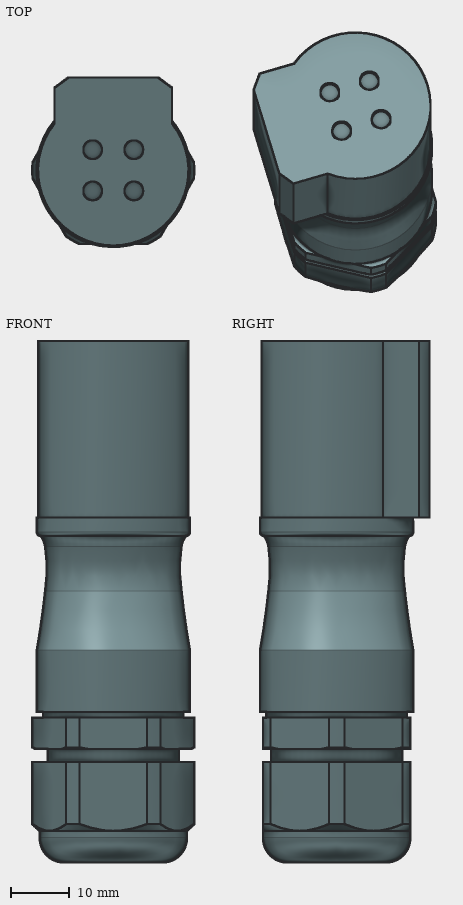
import cadquery as cq
import math

total_height = 88.6

head_height = 30.0
head_radius = 12.8
key_width = 20.0
key_reach = 15.8
key_chamfer_x = 2.4
key_chamfer_y = 1.8

hole_spacing = 7.0
hole_diameter = 3.2
hole_depth = 1.0

sleeve_radius = 13.0
collar_height = 2.4
collar_round = 0.7
waist_end_radius = 11.6
waist_radius = 11.3
waist_top = 53.7
waist_bottom = 46.2
flare_middle_radius = 12.2
grip_top = 36.1
sleeve_bottom = 25.6

hex_sides = 6
across_flats = 25.1
across_corners = 27.55
upper_neck_radius = 12.0
upper_hex_top = 24.6
upper_hex_bottom = 19.3
upper_hex_chamfer_width = 0.5
upper_hex_chamfer_height = 0.3
lower_neck_radius = 11.2
lower_hex_top = 17.1
lower_hex_bottom = 5.4
lower_hex_chamfer_height = 1.15
cap_round = 4.25

head_bottom = total_height - head_height
collar_bottom = head_bottom - collar_height
shoulder_bottom = collar_bottom - collar_round
shoulder_radius = sleeve_radius - collar_round
corner_radius = across_corners / 2
cap_radius = across_flats / 2


def cylinder(radius, bottom, top):
    return cq.Workplane("XY").workplane(offset=bottom).circle(radius).extrude(top - bottom)


def make_head():
    """Round head with a chamfered key block along its full height."""
    half_width = key_width / 2
    key = (
        cq.Workplane("XY")
        .workplane(offset=head_bottom)
        .moveTo(-half_width, 0)
        .lineTo(-half_width, key_reach - key_chamfer_y)
        .lineTo(-half_width + key_chamfer_x, key_reach)
        .lineTo(half_width - key_chamfer_x, key_reach)
        .lineTo(half_width, key_reach - key_chamfer_y)
        .lineTo(half_width, 0)
        .close()
        .extrude(head_height)
    )
    return cylinder(head_radius, head_bottom, total_height).union(key)


def make_contact_holes():
    """Four shallow holes in a square, sunk from the top face."""
    return (
        cq.Workplane("XY")
        .workplane(offset=total_height)
        .rarray(hole_spacing, hole_spacing, 2, 2)
        .circle(hole_diameter / 2)
        .extrude(-hole_depth)
    )


def make_sleeve():
    """Turned sleeve: rounded collar, concave waist and straight grip."""
    diagonal = math.sqrt(0.5)
    collar_round_middle = (
        shoulder_radius + collar_round * diagonal,
        collar_bottom - collar_round * diagonal,
    )
    profile = (
        cq.Workplane("XZ")
        .moveTo(0, sleeve_bottom)
        .lineTo(sleeve_radius, sleeve_bottom)
        .lineTo(sleeve_radius, grip_top)
        .threePointArc(
            (flare_middle_radius, (grip_top + waist_bottom) / 2),
            (waist_end_radius, waist_bottom),
        )
        .threePointArc(
            (waist_radius, (waist_bottom + waist_top) / 2),
            (waist_end_radius, waist_top),
        )
        .tangentArcPoint((shoulder_radius, shoulder_bottom), relative=False)
        .threePointArc(collar_round_middle, (sleeve_radius, collar_bottom))
        .lineTo(sleeve_radius, head_bottom)
        .lineTo(0, head_bottom)
        .close()
    )
    return profile.revolve(360, (0, 0), (0, 1))


def make_hexagon(bottom, top, chamfer_width, chamfer_height):
    """Hexagon with corners on the X axis, turned to a round and chamfered below."""
    prism = (
        cq.Workplane("XY")
        .workplane(offset=bottom)
        .polygon(hex_sides, across_flats, circumscribed=True)
        .extrude(top - bottom)
        .rotate((0, 0, 0), (0, 0, 1), 180 / hex_sides)
    )
    envelope = (
        cq.Workplane("XZ")
        .moveTo(0, bottom)
        .lineTo(corner_radius - chamfer_width, bottom)
        .lineTo(corner_radius, bottom + chamfer_height)
        .lineTo(corner_radius, top)
        .lineTo(0, top)
        .close()
        .revolve(360, (0, 0), (0, 1))
    )
    return prism.intersect(envelope)


def make_gland():
    """Cable gland below the sleeve."""
    upper_hex = make_hexagon(
        upper_hex_bottom, upper_hex_top, upper_hex_chamfer_width, upper_hex_chamfer_height
    )
    lower_hex = make_hexagon(
        lower_hex_bottom, lower_hex_top, corner_radius - cap_radius, lower_hex_chamfer_height
    )
    cap = cylinder(cap_radius, 0, lower_hex_bottom).faces("<Z").edges().fillet(cap_round)
    return (
        cap.union(lower_hex)
        .union(cylinder(lower_neck_radius, lower_hex_top, upper_hex_bottom))
        .union(upper_hex)
        .union(cylinder(upper_neck_radius, upper_hex_top, sleeve_bottom))
    )


result = make_gland().union(make_sleeve()).union(make_head()).cut(make_contact_holes())